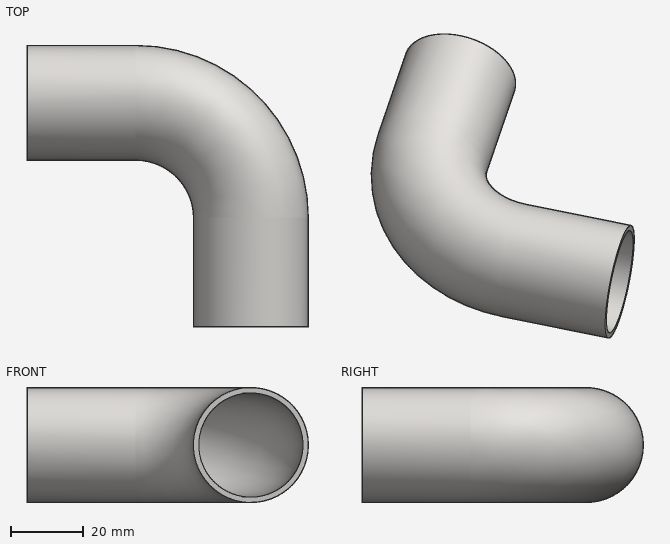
import cadquery as cq

outer_diameter = 31.75
wall_thickness = 1.5
straight_length = 30.0
bend_radius = outer_diameter
bend_angle = 90.0

outer_radius = outer_diameter / 2
inner_radius = outer_radius - wall_thickness


def tube_section(workplane):
    """Draw the annular tube section centred on the workplane origin."""
    return workplane.circle(outer_radius).circle(inner_radius)


def x_leg():
    """Straight leg running towards -X from the start of the bend."""
    section_plane = cq.Workplane("YZ", origin=(0, bend_radius, 0))
    return tube_section(section_plane).extrude(-straight_length)


def y_leg():
    """Straight leg running towards -Y from the end of the bend."""
    section_plane = cq.Workplane("XZ", origin=(bend_radius, 0, 0))
    return tube_section(section_plane).extrude(straight_length)


def bend():
    """Quarter torus joining the two legs, turned about the Z axis."""
    section_plane = cq.Workplane("XZ", origin=(bend_radius, 0, 0))
    axis_start = (-bend_radius, 0)
    axis_end = (-bend_radius, 1)
    return tube_section(section_plane).revolve(bend_angle, axis_start, axis_end)


result = x_leg().union(bend()).union(y_leg())